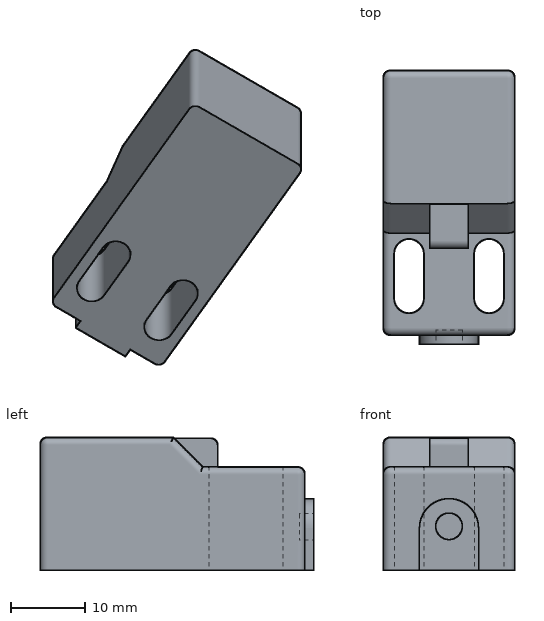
import cadquery as cq

total_length = 37
width = 17.8
height = 18.0
tab_thickness = 1.22
body_length = total_length - tab_thickness
edge_radius = 1.0

tall_length = 18.0
deck_height = 14.0
ramp_drop = height - deck_height
front_y = -body_length
ramp_top_y = -tall_length
ramp_foot_y = ramp_top_y - ramp_drop

slot_width = 4.0
slot_length = 10
slot_spacing = 10.8
slot_center_y = -27.8

block_width = 5.25
block_front_y = -24.0
block_top = 17.87
block_radius = 1.0

tab_width = 8.0
tab_radius = tab_width / 2
tab_height = 9.7
tab_arc_z = tab_height - tab_radius
hole_diameter = 3.6
hole_z = 5.95
hole_depth = 2.0


def make_body():
    """Stepped body with rounded corners and top rim; ramp creases and base stay sharp."""
    body = (
        cq.Workplane("YZ")
        .moveTo(0, 0)
        .lineTo(0, height)
        .lineTo(ramp_top_y, height)
        .lineTo(ramp_foot_y, deck_height)
        .lineTo(front_y, deck_height)
        .lineTo(front_y, 0)
        .close()
        .extrude(width / 2, both=True)
    )
    base_edges = body.faces("<Z").edges()
    ramp_creases = body.edges("|X").edges(
        cq.selectors.BoxSelector(
            (-width, ramp_foot_y - 0.37, deck_height - 0.37),
            (width, ramp_top_y + 0.37, height + 0.37),
        )
    )
    sharp_edges = base_edges.vals() + ramp_creases.vals()
    rounded_edges = [
        edge for edge in body.edges().vals()
        if not any(edge.isSame(sharp) for sharp in sharp_edges)
    ]
    return body.newObject(rounded_edges).fillet(edge_radius)


def make_indicator_block():
    """Block whose sloped back lies on the ramp and whose foot stands on the deck."""
    block_back_y = ramp_top_y - (height - block_top)
    return (
        cq.Workplane("YZ")
        .moveTo(block_back_y, block_top)
        .lineTo(block_front_y + block_radius, block_top)
        .radiusArc((block_front_y, block_top - block_radius), -block_radius)
        .lineTo(block_front_y, deck_height)
        .lineTo(ramp_foot_y, deck_height)
        .close()
        .extrude(block_width / 2, both=True)
    )


def make_tab():
    """Round-topped plate on the front face."""
    return (
        cq.Workplane("XZ", origin=(0, front_y, 0))
        .moveTo(-tab_radius, 0)
        .lineTo(-tab_radius, tab_arc_z)
        .threePointArc((0, tab_height), (tab_radius, tab_arc_z))
        .lineTo(tab_radius, 0)
        .close()
        .extrude(tab_thickness)
    )


def make_slots():
    """Pair of round-ended slots running along Y through the full deck height."""
    return (
        cq.Workplane("XY", origin=(0, slot_center_y, 0))
        .pushPoints([(-slot_spacing / 2, 0), (slot_spacing / 2, 0)])
        .slot2D(slot_length, slot_width, 90)
        .extrude(deck_height)
    )


def make_hole():
    """Blind round hole entering from the outer face of the tab."""
    return (
        cq.Workplane("XZ", origin=(0, -total_length, hole_z))
        .circle(hole_diameter / 2)
        .extrude(-hole_depth)
    )


result = (
    make_body()
    .union(make_indicator_block())
    .union(make_tab())
    .cut(make_slots())
    .cut(make_hole())
)